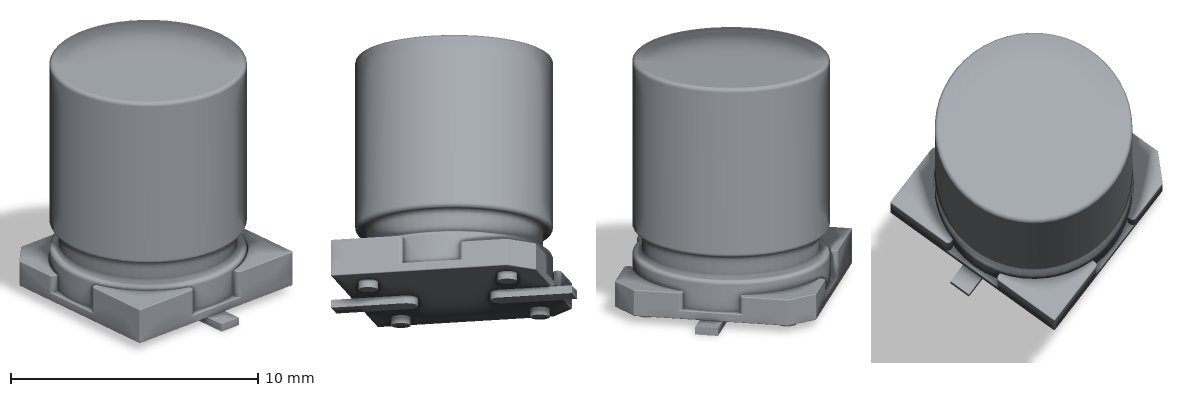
import cadquery as cq

total_height = 10.2
lead_span = 10.0

can_radius = 8.0 / 2
neck_radius = 7.2 / 2
edge_round = 0.16
neck_bottom = 2.0
neck_top = 2.99

base_width = 8.3
base_half = base_width / 2
base_bottom = 0.33
floor_top = 0.69
corner_chamfer = 0.98
low_post_top = 1.44
high_post_top = 1.84
notch_half_width = 1.18
post_round = 0.17
seat_radius = 4.04
base_edge_round = 0.04

lead_width = 0.94
lead_inner_end = 1.52
foot_diameter = 0.8
foot_spacing = 5.77


def make_can():
    """Turned can with rounded rims and a crimped neck whose two corners are filleted."""
    profile = (
        cq.Workplane("XZ")
        .moveTo(0, floor_top)
        .lineTo(can_radius, floor_top)
        .lineTo(can_radius, neck_bottom - edge_round)
        .radiusArc((can_radius - edge_round, neck_bottom), -edge_round)
        .lineTo(neck_radius + edge_round, neck_bottom)
        .radiusArc((neck_radius, neck_bottom + edge_round), edge_round)
        .lineTo(neck_radius, neck_top - edge_round)
        .radiusArc((neck_radius + edge_round, neck_top), edge_round)
        .lineTo(can_radius - edge_round, neck_top)
        .radiusArc((can_radius, neck_top + edge_round), -edge_round)
        .lineTo(can_radius, total_height - edge_round)
        .radiusArc((can_radius - edge_round, total_height), -edge_round)
        .lineTo(0, total_height)
        .close()
    )
    return profile.revolve(360, (0, 0, 0), (0, 1, 0))


def make_post(side_x, side_y, top):
    """Corner post: hollowed to hug the can, with rounded ends beside the notches."""
    seat_end = (seat_radius**2 - notch_half_width**2) ** 0.5
    round_start = notch_half_width + post_round
    round_end = base_half - post_round
    post = (
        cq.Workplane("XY", origin=(0, 0, floor_top))
        .moveTo(notch_half_width, seat_end)
        .lineTo(notch_half_width, round_end)
        .radiusArc((round_start, base_half), post_round)
        .lineTo(base_half, base_half)
        .lineTo(base_half, round_start)
        .radiusArc((round_end, notch_half_width), post_round)
        .lineTo(seat_end, notch_half_width)
        .radiusArc((notch_half_width, seat_end), -seat_radius)
        .close()
        .extrude(top - floor_top)
    )
    if side_x < 0:
        post = post.mirror("YZ")
    if side_y < 0:
        post = post.mirror("XZ")
    return post


def make_base():
    """Square plate with a post on each corner; the -X corners are low and chamfered."""
    plate_thickness = floor_top - base_bottom
    base = (
        cq.Workplane("XY", origin=(0, 0, base_bottom))
        .box(base_width, base_width, plate_thickness, centered=(True, True, False))
    )
    for side_x, top in ((-1, low_post_top), (1, high_post_top)):
        for side_y in (-1, 1):
            base = base.union(make_post(side_x, side_y, top))
    negative_corners = "<(1,1,0) or <(1,-1,0)"
    base = base.edges(negative_corners).chamfer(corner_chamfer)
    outer_sides = f"<X or >X or <Y or >Y or {negative_corners}"
    post_tops = ">Z or >Z[-2]"
    return base.faces(f"{outer_sides} or {post_tops}").edges().fillet(base_edge_round)


def make_lead(side):
    """Flat lead running out along X, with a round inner end under the base."""
    end_radius = lead_width / 2
    round_start = lead_inner_end + end_radius
    lead = (
        cq.Workplane("XY")
        .moveTo(side * lead_span / 2, -end_radius)
        .lineTo(side * round_start, -end_radius)
        .threePointArc((side * lead_inner_end, 0), (side * round_start, end_radius))
        .lineTo(side * lead_span / 2, end_radius)
        .close()
    )
    return lead.extrude(base_bottom)


def make_feet():
    """Four round stand-off feet under the corners of the base."""
    return (
        cq.Workplane("XY")
        .rect(foot_spacing, foot_spacing, forConstruction=True)
        .vertices()
        .circle(foot_diameter / 2)
        .extrude(base_bottom)
    )


result = make_base().union(make_can()).union(make_feet())
for side in (-1, 1):
    result = result.union(make_lead(side))